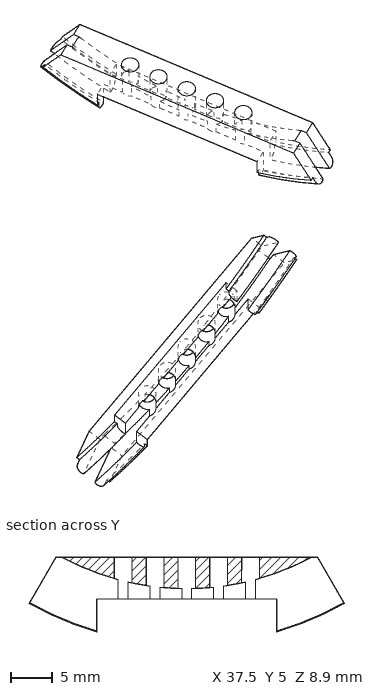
import cadquery as cq
import math

length = 37.53
width = 5.0
end_angle = 30.0

axis_height = 27.7
rim_radius = 38.13
shoulder_radius = 36.5
groove_radius = 31.45

groove_width = 1.7
feet_width = 4.13
foot_round = 0.83

recess_length = 21.4
recess_depth = 5.0

hole_count = 5
hole_pitch = 3.8
hole_diameter = 2.05

half_length = length / 2
tip_depth = math.sqrt(rim_radius**2 - half_length**2) - axis_height
end_slope = math.tan(math.radians(end_angle))
half_top = half_length - tip_depth * end_slope
prism_depth = rim_radius - axis_height
half_prism = half_top + prism_depth * end_slope


def turned_body():
    """Stepped disc with two rounded rims, turned about the common Y axis."""
    half_width = width / 2
    half_feet = feet_width / 2
    half_groove = groove_width / 2
    crest_y = half_feet - foot_round
    round_center = rim_radius - foot_round
    wall_radius = round_center + math.sqrt(foot_round**2 - (crest_y - half_groove)**2)

    profile = (
        cq.Workplane("YZ", origin=(0, 0, axis_height))
        .moveTo(-half_width, 0)
        .lineTo(-half_width, -shoulder_radius)
        .lineTo(-half_feet, -shoulder_radius)
        .lineTo(-half_feet, -round_center)
        .threePointArc((-crest_y, -rim_radius), (-half_groove, -wall_radius))
        .lineTo(-half_groove, -groove_radius)
        .lineTo(half_groove, -groove_radius)
        .lineTo(half_groove, -wall_radius)
        .threePointArc((crest_y, -rim_radius), (half_feet, -round_center))
        .lineTo(half_feet, -shoulder_radius)
        .lineTo(half_width, -shoulder_radius)
        .lineTo(half_width, 0)
        .close()
    )
    return profile.revolve(360, (0, 0), (1, 0))


def side_prism():
    """Flat top, sloping ends and the recess between the feet, extruded along Y."""
    half_recess = recess_length / 2
    outline = [
        (-half_top, 0),
        (half_top, 0),
        (half_prism, -prism_depth),
        (half_recess, -prism_depth),
        (half_recess, -recess_depth),
        (-half_recess, -recess_depth),
        (-half_recess, -prism_depth),
        (-half_prism, -prism_depth),
    ]
    return cq.Workplane("XZ").polyline(outline).close().extrude(width / 2, both=True)


def hole_row():
    """Vertical cylinders spaced evenly along X."""
    return (
        cq.Workplane("XY")
        .rarray(hole_pitch, 0.38, hole_count, 1)
        .circle(hole_diameter / 2)
        .extrude(-recess_depth)
    )


result = turned_body().intersect(side_prism()).cut(hole_row())